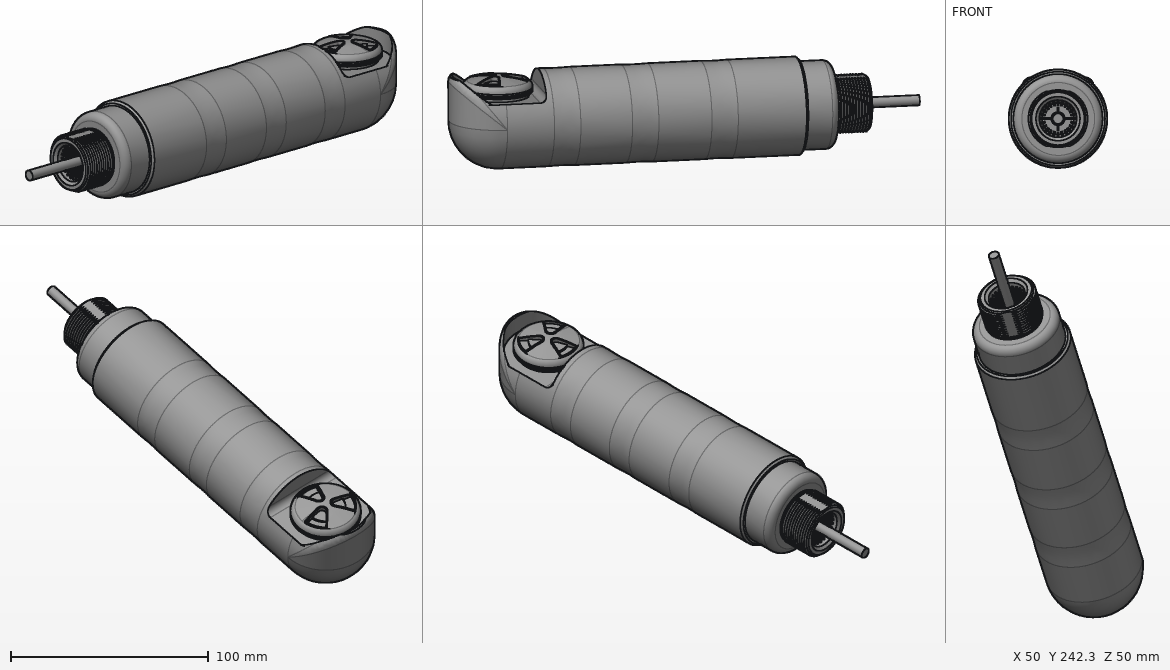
import cadquery as cq
import math

TOTAL_LENGTH = 242.3
BODY_RADIUS = 25.0
BODY_END = 179.3

BAND_STARTS = (49.2, 89.5, 130.4)
BAND_LENGTH = 13.5
BAND_SAG = 0.2

SHOULDER_CHAMFER = 1.2
COLLAR_RADIUS = 22.5
COLLAR_END = 197.2
COLLAR_FILLET = 4.0

THREAD_RADIUS = 15.0
THREAD_DEPTH = 1.0
THREAD_PITCH = 1.5
THREAD_TURNS = 11
NECK_RADIUS = 14.5
NECK_LENGTH = 1.0
GLAND_END = 215.6
GLAND_CHAMFER = 0.7
FLAT_HEIGHT = 13.8
FLAT_RAMP = 1.2

MOUTH_RADIUS = 11.1
MOUTH_DEPTH = 1.5
BORE_TOP_RADIUS = 9.5
BORE_FLOOR_RADIUS = 8.0
BORE_DEPTH = 14.5
RIB_COUNT = 24
RIB_INNER_RADIUS = 6.8
RIB_WIDTH = 0.7
RIB_START = 3.6

CABLE_RADIUS = 2.7
SEAL_GAP = 0.7
SEAL_DEPTH = 2.5
SLIT_LENGTH = 11.6
SLIT_WIDTH = 0.7

HEAD_EDGE_FILLET = 4.8
HOOD_THICKNESS = 2.2
HOOD_CREST = 22.8
RECESS_FLOOR = 12.4
RECESS_END = 46.3
RECESS_FILLET = 3.6

BUTTON_RADIUS = 18.0
BUTTON_BASE_RADIUS = 16.0
BUTTON_BASE_BOTTOM = 10.0
BUTTON_UNDERSIDE = 14.0
BUTTON_BEVEL_TOP = 15.0
BUTTON_GROOVE_DEPTH = 0.2
BUTTON_GROOVE_BOTTOM = 15.7
BUTTON_GROOVE_TOP = 16.7
DOME_RADIUS = 15.5
DOME_EDGE = 20.4
DOME_TOP = 22.5

WINDOW_ANGLES = (30, 150, 270)
WINDOW_INNER = 5.3
WINDOW_NOSE_RADIUS = 2.2
WINDOW_OUTER = 14.8
WINDOW_HALF_WIDTH = 5.3
WINDOW_LIP_WIDTH = 0.7
WINDOW_LIP_HEIGHT = 0.2
WINDOW_STEP = 10.2
WINDOW_FLOOR = 20.4
WINDOW_LOW_FLOOR = 19.5


def rod(radius, start, end):
    """Cylinder about the handle axis between two distances from the head tip."""
    return cq.Workplane("XZ", origin=(0, -start, 0)).circle(radius).extrude(end - start)


def make_head():
    """Quarter-round head: half ball below the axis, two crossing cylinders above it."""
    size = 2 * BODY_RADIUS
    centre = (0, -BODY_RADIUS, 0)
    front_half = cq.Workplane("XY").box(size, BODY_RADIUS, size).translate((0, -BODY_RADIUS / 2, 0))
    below_axis = cq.Workplane("XY").box(size, size, BODY_RADIUS).translate((0, -BODY_RADIUS, -BODY_RADIUS / 2))

    lower = cq.Workplane("XY").sphere(BODY_RADIUS).translate(centre)
    lower = lower.intersect(below_axis).intersect(front_half)

    upright = cq.Workplane("XY", origin=centre).circle(BODY_RADIUS).extrude(BODY_RADIUS)
    upper = upright.intersect(rod(BODY_RADIUS, 0, size)).intersect(front_half)
    upper = upper.edges("%ELLIPSE").fillet(HEAD_EDGE_FILLET)
    return lower.union(upper)


def make_handle():
    """Turned handle with waisted grip bands, shoulder and end collar."""
    profile = cq.Workplane("XY").moveTo(0, -BODY_RADIUS).lineTo(BODY_RADIUS, -BODY_RADIUS)
    for start in BAND_STARTS:
        waist = (BODY_RADIUS - BAND_SAG, -start - BAND_LENGTH / 2)
        profile = profile.lineTo(BODY_RADIUS, -start)
        profile = profile.threePointArc(waist, (BODY_RADIUS, -start - BAND_LENGTH))
    chamfer_radius = BODY_RADIUS - SHOULDER_CHAMFER
    profile = (
        profile.lineTo(BODY_RADIUS, -BODY_END)
        .lineTo(chamfer_radius, -BODY_END - SHOULDER_CHAMFER)
        .lineTo(COLLAR_RADIUS, -BODY_END - SHOULDER_CHAMFER)
        .lineTo(COLLAR_RADIUS, -COLLAR_END + COLLAR_FILLET)
        .radiusArc((COLLAR_RADIUS - COLLAR_FILLET, -COLLAR_END), COLLAR_FILLET)
        .lineTo(0, -COLLAR_END)
        .close()
    )
    return profile.revolve(360, (0, 0, 0), (0, 1, 0))


def make_gland():
    """Threaded gland, its thread formed by ring-shaped V ridges, with two side flats."""
    root = THREAD_RADIUS - THREAD_DEPTH
    profile = cq.Workplane("XY").moveTo(0, -COLLAR_END).lineTo(NECK_RADIUS, -COLLAR_END)
    profile = profile.lineTo(NECK_RADIUS, -COLLAR_END - NECK_LENGTH)
    for turn in range(THREAD_TURNS):
        start = COLLAR_END + NECK_LENGTH + turn * THREAD_PITCH
        profile = profile.lineTo(root, -start).lineTo(THREAD_RADIUS, -start - THREAD_PITCH / 2)
    profile = (
        profile.lineTo(root, -COLLAR_END - NECK_LENGTH - THREAD_TURNS * THREAD_PITCH)
        .lineTo(root, -GLAND_END + GLAND_CHAMFER)
        .lineTo(root - GLAND_CHAMFER, -GLAND_END)
        .lineTo(0, -GLAND_END)
        .close()
    )
    return profile.revolve(360, (0, 0, 0), (0, 1, 0))


def make_flat_cutter():
    """Block that cuts one flat on the gland, sloped where it meets the collar."""
    top = FLAT_HEIGHT + FLAT_RAMP
    return (
        cq.Workplane("YZ", origin=(-THREAD_RADIUS, 0, 0))
        .moveTo(-COLLAR_END, top)
        .lineTo(-COLLAR_END - FLAT_RAMP, FLAT_HEIGHT)
        .lineTo(-GLAND_END, FLAT_HEIGHT)
        .lineTo(-GLAND_END, top)
        .close()
        .extrude(2 * THREAD_RADIUS)
    )


def make_bore_cutter():
    """Tapered, ribbed bore of the gland with a cross-slit seal at the bottom."""
    floor = GLAND_END - BORE_DEPTH
    seal_bottom = floor - SEAL_DEPTH
    bore = (
        cq.Workplane("XY")
        .moveTo(0, -GLAND_END)
        .lineTo(MOUTH_RADIUS, -GLAND_END)
        .lineTo(BORE_TOP_RADIUS, -GLAND_END + MOUTH_DEPTH)
        .lineTo(BORE_FLOOR_RADIUS, -floor)
        .lineTo(0, -floor)
        .close()
        .revolve(360, (0, 0, 0), (0, 1, 0))
    )
    rib_height = BORE_TOP_RADIUS - RIB_INNER_RADIUS
    rib = (
        cq.Workplane("XZ", origin=(RIB_INNER_RADIUS + rib_height / 2, -floor, 0))
        .rect(rib_height, RIB_WIDTH)
        .extrude(BORE_DEPTH - RIB_START)
    )
    for index in range(RIB_COUNT):
        bore = bore.cut(rib.rotate((0, 0, 0), (0, 1, 0), index * 360 / RIB_COUNT))
    seal = rod(CABLE_RADIUS + SEAL_GAP, seal_bottom, floor)
    slits = cq.Workplane("XZ", origin=(0, -seal_bottom, 0)).rect(SLIT_LENGTH, SLIT_WIDTH).extrude(SEAL_DEPTH)
    slits = slits.union(slits.rotate((0, 0, 0), (0, 1, 0), 90))
    return bore.union(seal).union(slits)


def make_recess_cutter():
    """Open-sided recess in the head, rounded inside the hood and filleted at the rear wall."""
    radius = BODY_RADIUS - HOOD_THICKNESS
    hood_side = (
        cq.Workplane("XY", origin=(0, -BODY_RADIUS, RECESS_FLOOR))
        .moveTo(radius, 0)
        .threePointArc((0, radius), (-radius, 0))
        .close()
        .extrude(BODY_RADIUS)
    )
    length = RECESS_END - BODY_RADIUS
    rear = (
        cq.Workplane("XY", origin=(0, -BODY_RADIUS - length / 2, RECESS_FLOOR))
        .rect(2 * radius, length)
        .extrude(BODY_RADIUS)
        .edges("<Y and <Z")
        .fillet(RECESS_FILLET)
    )
    return hood_side.union(rear)


def make_crest_cutter():
    """Block that trims the crest of the hood level."""
    trim_height = BODY_RADIUS - HOOD_CREST
    return (
        cq.Workplane("XY")
        .box(2 * BODY_RADIUS, BODY_RADIUS, trim_height, centered=(True, True, False))
        .translate((0, -BODY_RADIUS / 2, HOOD_CREST))
    )


def make_window_outline():
    """Tapering window outline along +X with a rounded inner end."""
    corner_x = math.sqrt(WINDOW_OUTER**2 - WINDOW_HALF_WIDTH**2)
    reach = math.hypot(corner_x - WINDOW_INNER, WINDOW_HALF_WIDTH)
    angle = math.atan2(WINDOW_HALF_WIDTH, corner_x - WINDOW_INNER) + math.acos(WINDOW_NOSE_RADIUS / reach)
    tangent_x = WINDOW_INNER + WINDOW_NOSE_RADIUS * math.cos(angle)
    tangent_y = WINDOW_NOSE_RADIUS * math.sin(angle)
    return (
        cq.Workplane("XY", origin=(0, 0, WINDOW_LOW_FLOOR))
        .moveTo(tangent_x, tangent_y)
        .threePointArc((WINDOW_INNER - WINDOW_NOSE_RADIUS, 0), (tangent_x, -tangent_y))
        .lineTo(corner_x, -WINDOW_HALF_WIDTH)
        .threePointArc((WINDOW_OUTER, 0), (corner_x, WINDOW_HALF_WIDTH))
        .close()
    )


def make_window_cutter():
    """One window opening with a two-level floor, the lower level towards the rim."""
    window = make_window_outline().extrude(BUTTON_RADIUS)
    step_height = WINDOW_FLOOR - WINDOW_LOW_FLOOR
    step = cq.Workplane("XY", origin=(0, 0, WINDOW_LOW_FLOOR)).circle(WINDOW_STEP).extrude(step_height)
    return window.cut(step)


def make_button_blank():
    """Domed button on a smaller base, with a shallow groove round its edge."""
    dome_rise = DOME_TOP - DOME_EDGE
    dome_sphere_radius = (DOME_RADIUS**2 + dome_rise**2) / (2 * dome_rise)
    rounding_width = BUTTON_RADIUS - DOME_RADIUS
    rounding_rise = DOME_EDGE - BUTTON_GROOVE_TOP
    rounding_radius = (rounding_width**2 + rounding_rise**2) / (2 * rounding_width)
    groove_radius = BUTTON_RADIUS - BUTTON_GROOVE_DEPTH
    bevel = BUTTON_BEVEL_TOP - BUTTON_UNDERSIDE
    return (
        cq.Workplane("XZ")
        .moveTo(0, BUTTON_BASE_BOTTOM)
        .lineTo(BUTTON_BASE_RADIUS, BUTTON_BASE_BOTTOM)
        .lineTo(BUTTON_BASE_RADIUS, BUTTON_UNDERSIDE)
        .lineTo(BUTTON_RADIUS - bevel, BUTTON_UNDERSIDE)
        .lineTo(BUTTON_RADIUS, BUTTON_BEVEL_TOP)
        .lineTo(BUTTON_RADIUS, BUTTON_GROOVE_BOTTOM)
        .lineTo(groove_radius, BUTTON_GROOVE_BOTTOM)
        .lineTo(groove_radius, BUTTON_GROOVE_TOP)
        .lineTo(BUTTON_RADIUS, BUTTON_GROOVE_TOP)
        .radiusArc((DOME_RADIUS, DOME_EDGE), -rounding_radius)
        .radiusArc((0, DOME_TOP), -dome_sphere_radius)
        .close()
        .revolve(360, (0, 0, 0), (0, 1, 0))
    )


def make_button():
    """Button with three windows, each framed by a low lip that follows the dome."""
    button = make_button_blank()
    raised_blank = button.translate((0, 0, WINDOW_LIP_HEIGHT))
    lip = make_window_outline().offset2D(WINDOW_LIP_WIDTH).extrude(BUTTON_RADIUS).intersect(raised_blank)
    window = make_window_cutter()
    for angle in WINDOW_ANGLES:
        button = button.union(lip.rotate((0, 0, 0), (0, 0, 1), angle))
        button = button.cut(window.rotate((0, 0, 0), (0, 0, 1), angle))
    return button.translate((0, -BODY_RADIUS, 0))


flat_cutter = make_flat_cutter()
gland = make_gland().cut(flat_cutter).cut(flat_cutter.mirror("XY")).cut(make_bore_cutter())
cable = rod(CABLE_RADIUS, COLLAR_END, TOTAL_LENGTH)
head = make_head().cut(make_crest_cutter())
head_and_handle = make_handle().union(head).cut(make_recess_cutter())

result = head_and_handle.union(make_button()).union(gland).union(cable)